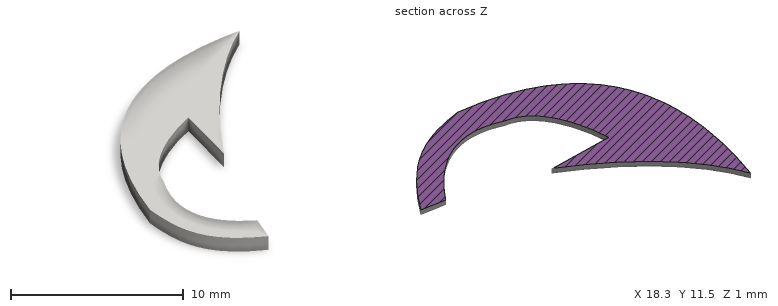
import cadquery as cq

length = 18.28
width = 11.45
thickness = 1.0

point_tip = (0.0, width)
barb_tip = (10.18, 6.03)
notch = (6.27, 5.48)
hook_end_height = 5.32
hook_end_width = 1.63
hook_end_inner = (length - hook_end_width, hook_end_height)
hook_end_outer = (length, hook_end_height)

inner_joint = (11.11, 1.81)
outer_joint = (13.29, 0.02)

barb_controls = [(2.76, 8.68), (7.02, 6.98)]
inner_shank_controls = [(7.6, 3.35), (9.36, 1.8)]
inner_bend_controls = [(13.73, 1.26), (15.7, 2.2)]
outer_bend_controls = [(17.38, 1.66), (15.61, 0.77)]
back_controls = [(5.83, -0.3), (1.12, 3.07)]


def curve_to(outline, controls, end):
    """Continue the outline along a cubic Bezier curve to the end point."""
    return outline.bezier([*controls, end], includeCurrent=True)


outline = cq.Workplane("XY").moveTo(*point_tip)
outline = curve_to(outline, barb_controls, barb_tip)
outline = outline.lineTo(*notch)
outline = curve_to(outline, inner_shank_controls, inner_joint)
outline = curve_to(outline, inner_bend_controls, hook_end_inner)
outline = outline.lineTo(*hook_end_outer)
outline = curve_to(outline, outer_bend_controls, outer_joint)
outline = curve_to(outline, back_controls, point_tip)

result = outline.close().extrude(thickness)